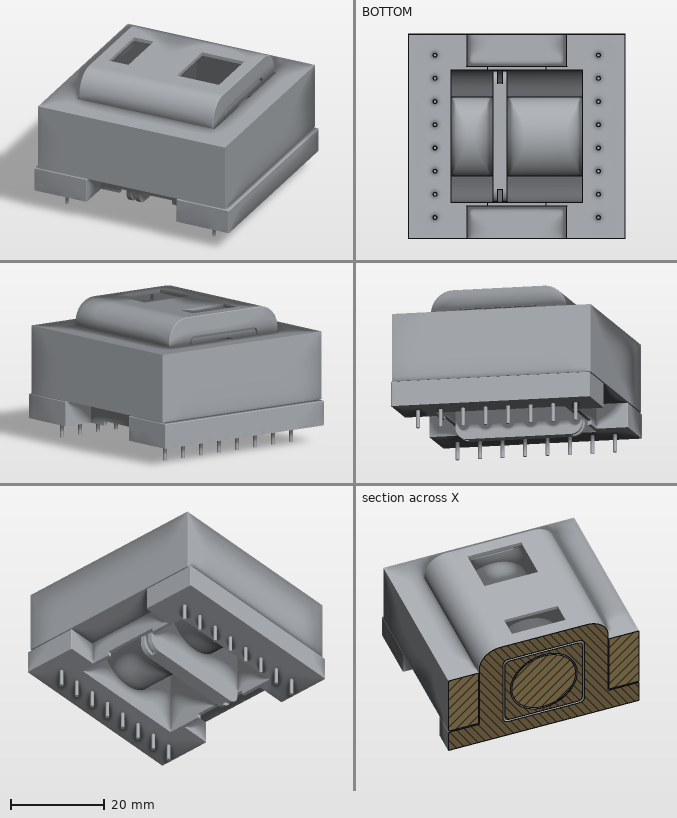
import cadquery as cq


CORE_LENGTH = 44.8
CORE_WIDTH = 44.0
CORE_HEIGHT = 14.8
CORE_BOTTOM = 5.6
CORE_TOP = CORE_BOTTOM + CORE_HEIGHT
LEG_DIAMETER = CORE_HEIGHT
AXIS_Z = CORE_BOTTOM + CORE_HEIGHT / 2

COVER_LENGTH = 32.1
COVER_WIDTH = 30.0
COVER_TOP = 26.35
COVER_WALL = 0.8
COVER_ROUND = 5.0
COVER_EDGE_ROUND = 0.2
COVER_END_WALL = 1.9
WINDOW_END_GAP = 0.4
CORE_WINDOW_LENGTH = COVER_LENGTH + 2 * WINDOW_END_GAP
CAVITY_LENGTH = COVER_LENGTH - 2 * COVER_END_WALL
CAVITY_WIDTH = COVER_WIDTH - 2 * COVER_WALL
CAVITY_TOP = COVER_TOP - COVER_WALL
CAVITY_ROUND = COVER_ROUND - COVER_WALL

TOP_OPENING_WIDTH = 12.35
TOP_OPENINGS = [(-13.2, -8.5), (3.1, 13.2)]
SIDE_NOTCH_LENGTH = 12.5
SIDE_NOTCH_HEIGHT = 1.0

WIRE_SLOT_WIDTH = 10.15
WIRE_SLOT_FLOOR = 23.95
WIRE_SLOT_DEPTH = 0.95

GROOVE_WIDTH = 0.4
GROOVE_DEPTH = 0.35
GROOVE_OUTER_WIDTH = 18.75
GROOVE_OUTER_HEIGHT = 18.0
GROOVE_OUTER_ROUND = 1.2
GROOVE_INNER_ROUND = 1.1

TUBE_BORE = 15.3
TUBE_DIAMETER = 17.0

FLANGE_THICKNESS = 1.03
DIVIDER_START = -5.13
DIVIDER_BOTTOM = -2.7
DIVIDER_WIDTH = 28.0
DIVIDER_ROUND = 2.55
WEB_WIDTH = DIVIDER_WIDTH - 2 * DIVIDER_ROUND

BASE_LENGTH = 46.6
FOOT_LENGTH = 12.6
FOOT_CLEARANCE = 0.2
FOOT_HEIGHT = CORE_BOTTOM - FOOT_CLEARANCE
FOOT_EDGE_ROUND = 0.2

PIN_DIAMETER = 0.8
PIN_LENGTH = 3.85
PIN_PITCH = 5.0
PINS_PER_ROW = 8
PIN_ROW_X = 17.55


def box(x_range, width, z_range):
    """A box between two X and two Z values, centred on Y = 0."""
    length = x_range[1] - x_range[0]
    height = z_range[1] - z_range[0]
    return cq.Workplane("XY").box(length, width, height, centered=(False, True, False)).translate(
        (x_range[0], 0, z_range[0])
    )


def centred_box(length, width, z_range):
    """A box centred on X = 0 and Y = 0, between two Z values."""
    return box((-length / 2, length / 2), width, z_range)


def axial_cylinder(diameter, length):
    """A cylinder along X around the axis of the centre leg."""
    return cq.Workplane("YZ").center(0, AXIS_Z).circle(diameter / 2).extrude(length / 2, both=True)


def axial_block(width, height, corner, length):
    """A block along X with rounded corners, around the axis of the centre leg."""
    return (
        cq.Workplane("YZ")
        .center(0, AXIS_Z)
        .rect(width, height)
        .extrude(length / 2, both=True)
        .edges("|X")
        .fillet(corner)
    )


def build_core():
    block = centred_box(CORE_LENGTH, CORE_WIDTH, (CORE_BOTTOM, CORE_TOP))
    window = centred_box(CORE_WINDOW_LENGTH, COVER_WIDTH, (CORE_BOTTOM, CORE_TOP))
    leg = axial_cylinder(LEG_DIAMETER, CORE_LENGTH)
    return block.cut(window).union(leg)


def build_cover_block():
    block = centred_box(COVER_LENGTH, COVER_WIDTH, (0, COVER_TOP))
    block = block.edges("|X and >Z").fillet(COVER_ROUND)
    return block.faces("<X or >X").edges("not <Z").fillet(COVER_EDGE_ROUND)


def build_foot():
    outer_x = BASE_LENGTH / 2
    foot = box((-outer_x, FOOT_LENGTH - outer_x), CORE_WIDTH, (0, FOOT_HEIGHT))
    return foot.edges("|Z or >Z").fillet(FOOT_EDGE_ROUND)


def build_cavity():
    """The space for the windings, open at the bottom."""
    cavity = centred_box(CAVITY_LENGTH, CAVITY_WIDTH, (0, CAVITY_TOP))
    return cavity.edges("|X and >Z").fillet(CAVITY_ROUND)


def cut_openings(shell):
    for x_range in TOP_OPENINGS:
        shell = shell.cut(box(x_range, TOP_OPENING_WIDTH, (CAVITY_TOP, COVER_TOP)))
    side_notch = centred_box(SIDE_NOTCH_LENGTH, COVER_WIDTH, (0, SIDE_NOTCH_HEIGHT))
    slot_start = CAVITY_LENGTH / 2
    wire_slot = box(
        (slot_start, slot_start + WIRE_SLOT_DEPTH), WIRE_SLOT_WIDTH, (WIRE_SLOT_FLOOR, CAVITY_TOP)
    )
    return shell.cut(side_notch).cut(wire_slot)


def build_end_grooves():
    """The rings of space that the grooves take out of the two end faces."""
    outside = axial_block(GROOVE_OUTER_WIDTH, GROOVE_OUTER_HEIGHT, GROOVE_OUTER_ROUND, COVER_LENGTH)
    inside = axial_block(
        GROOVE_OUTER_WIDTH - 2 * GROOVE_WIDTH,
        GROOVE_OUTER_HEIGHT - 2 * GROOVE_WIDTH,
        GROOVE_INNER_ROUND,
        COVER_LENGTH,
    )
    between_ends = centred_box(COVER_LENGTH - 2 * GROOVE_DEPTH, COVER_WIDTH, (0, COVER_TOP))
    return outside.cut(inside).cut(between_ends)


def build_divider():
    def flange(start):
        plate = box((start, start + FLANGE_THICKNESS), DIVIDER_WIDTH, (DIVIDER_BOTTOM, CAVITY_TOP))
        plate = plate.edges("|X and >Z").fillet(CAVITY_ROUND)
        return plate.edges("|X and <Z").fillet(DIVIDER_ROUND)

    web_start = DIVIDER_START + FLANGE_THICKNESS
    web_end = web_start + FLANGE_THICKNESS
    web = box((web_start, web_end), WEB_WIDTH, (DIVIDER_BOTTOM, CAVITY_TOP))
    return flange(DIVIDER_START).union(web).union(flange(web_end))


def build_pins():
    """Two rows of pins below the feet."""
    return (
        cq.Workplane("XY")
        .rarray(2 * PIN_ROW_X, PIN_PITCH, 2, PINS_PER_ROW)
        .circle(PIN_DIAMETER / 2)
        .extrude(-PIN_LENGTH)
    )


def build_bobbin():
    left_foot = build_foot()
    right_foot = left_foot.mirror("YZ")
    shell = build_cover_block().union(left_foot).union(right_foot).cut(build_cavity())
    tube = axial_cylinder(TUBE_DIAMETER, COVER_LENGTH)
    bore = axial_cylinder(TUBE_BORE, COVER_LENGTH)
    bobbin = cut_openings(shell).union(tube).union(build_divider()).cut(bore)
    return bobbin.cut(build_end_grooves()).union(build_pins())


core = build_core()
bobbin = build_bobbin()

result = cq.Compound.makeCompound([core.solids().val(), bobbin.solids().val()])